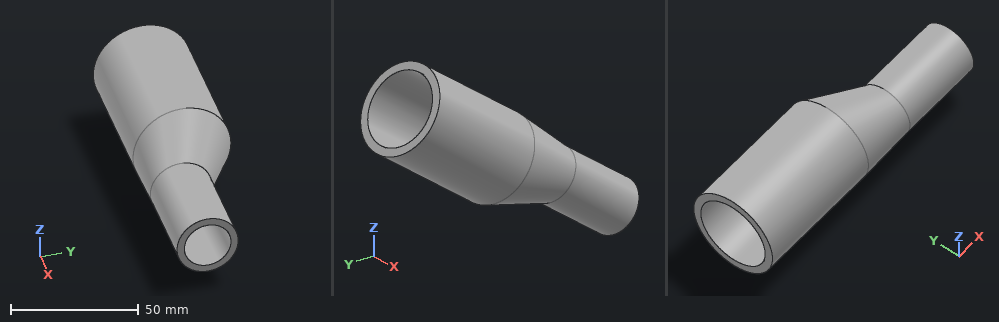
import cadquery as cq

large_outer_diameter = 40.0
large_bore_diameter = 32.6
small_outer_diameter = 25.0
small_bore_diameter = 19.0

large_pipe_length = 60.0
transition_length = 26.0
small_pipe_length = 40.0

small_pipe_offset = -(large_outer_diameter - small_outer_diameter) / 2
transition_end = large_pipe_length + transition_length


def cylinder_along_x(start, length, diameter, y_center):
    """Solid cylinder whose axis is parallel to X."""
    return (
        cq.Workplane("YZ", origin=(start, y_center, 0))
        .circle(diameter / 2)
        .extrude(length)
    )


def reducer_body(large_diameter, small_diameter):
    """Large cylinder, slanted cone and offset small cylinder joined end to end."""
    large_pipe = cylinder_along_x(0, large_pipe_length, large_diameter, 0)
    transition = (
        cq.Workplane("YZ", origin=(large_pipe_length, 0, 0))
        .circle(large_diameter / 2)
        .workplane(offset=transition_length)
        .center(small_pipe_offset, 0)
        .circle(small_diameter / 2)
        .loft(ruled=True)
    )
    small_pipe = cylinder_along_x(
        transition_end, small_pipe_length, small_diameter, small_pipe_offset
    )
    return large_pipe.union(transition).union(small_pipe)


outer_body = reducer_body(large_outer_diameter, small_outer_diameter)
bore = reducer_body(large_bore_diameter, small_bore_diameter)
result = outer_body.cut(bore)